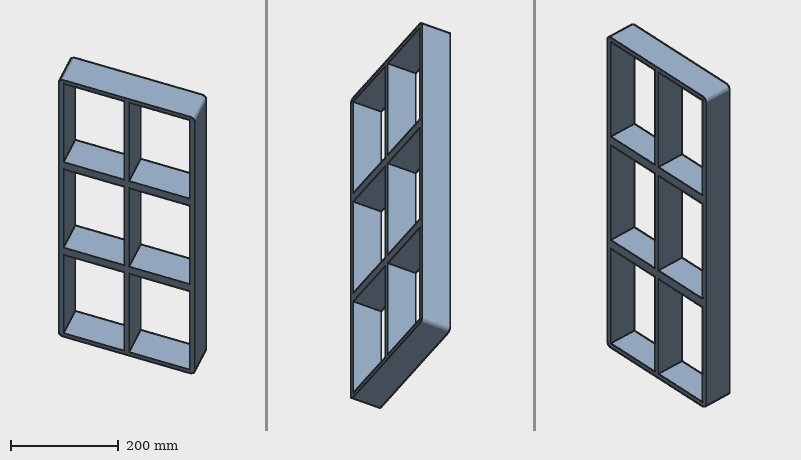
import cadquery as cq

width = 271.0
depth = 60.0
height = 714.0

wall = 10.0
shelf_thickness = 2 * wall
corner_radius = 10.0
columns = 2
rows = 3

opening_width = (width - (columns + 1) * wall) / columns
opening_height = (height - 2 * wall - (rows - 1) * shelf_thickness) / rows
column_pitch = opening_width + wall
row_pitch = opening_height + shelf_thickness


def outer_block():
    """Solid block with its four long corners rounded."""
    return cq.Workplane("XY").box(width, depth, height).edges("|Y").fillet(corner_radius)


def openings():
    """Grid of rectangular openings running through the full depth."""
    return (
        cq.Workplane("XZ")
        .rarray(column_pitch, row_pitch, columns, rows)
        .rect(opening_width, opening_height)
        .extrude(depth, both=True)
    )


result = outer_block().cut(openings())